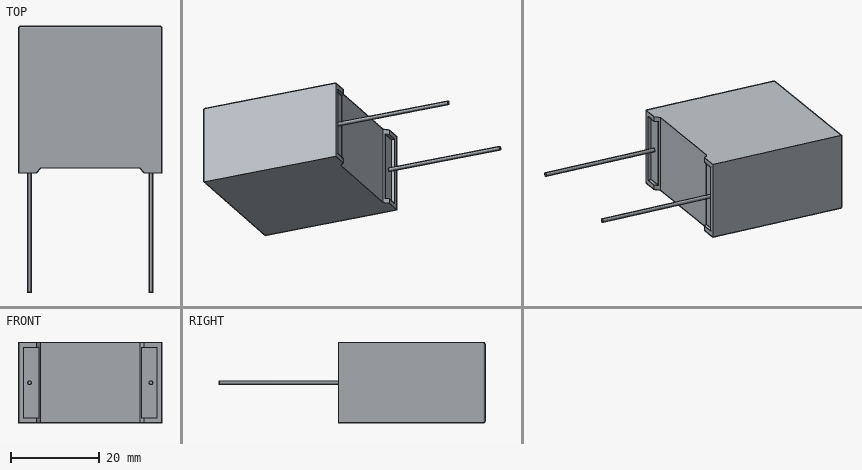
import cadquery as cq

total_length = 60.3
case_width = 32.5
case_height = 18.3
case_length = 33.3
back_edge_radius = 0.55

foot_width = 4.05
ramp_width = 0.95
recess_depth = 1.1

pocket_wall = 1.15
pocket_width = 3.5
pocket_depth = 0.8

lead_spacing = 27.5
lead_diameter = 0.85

back_y = total_length / 2
foot_y = back_y - case_length
recess_y = foot_y + recess_depth
pocket_floor_y = foot_y + pocket_depth
lead_tip_y = -total_length / 2
half_width = case_width / 2
foot_inner_x = half_width - foot_width
recess_x = foot_inner_x - ramp_width
pocket_x = half_width - pocket_wall - pocket_width / 2
lead_x = lead_spacing / 2
sides = (-1, 1)


def case_block():
    """Rounded-back block standing on two feet."""
    outline = [
        (-half_width, back_y),
        (-half_width, foot_y),
        (-foot_inner_x, foot_y),
        (-recess_x, recess_y),
        (recess_x, recess_y),
        (foot_inner_x, foot_y),
        (half_width, foot_y),
        (half_width, back_y),
    ]
    block = cq.Workplane("XY").polyline(outline).close().extrude(case_height / 2, both=True)
    return block.faces(">Y").edges().fillet(back_edge_radius)


def foot_pocket(side):
    """Cutter for the rectangular pocket in one foot."""
    pocket = cq.Workplane("XY").box(pocket_width, pocket_depth, case_height - 2 * pocket_wall)
    return pocket.translate((side * pocket_x, foot_y + pocket_depth / 2, 0))


def make_case():
    case = case_block()
    for side in sides:
        case = case.cut(foot_pocket(side))
    return case


def make_lead(side):
    """Straight round wire standing on the floor of one pocket."""
    plane = cq.Workplane("XZ", origin=(side * lead_x, pocket_floor_y, 0))
    return plane.circle(lead_diameter / 2).extrude(pocket_floor_y - lead_tip_y)


case = make_case()
leads = [make_lead(side) for side in sides]

result = cq.Compound.makeCompound([case.val(), *[lead.val() for lead in leads]])